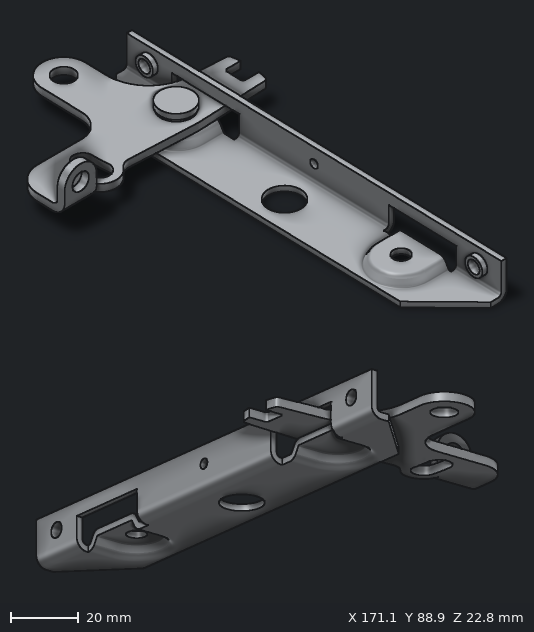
import cadquery as cq
import math


SHEET = 2.2
BRACKET_LENGTH = 158.5
BRACKET_MID_X = 47.5
WALL_BACK_Y = 12.7
BASE_FRONT_Y = -12.8
WALL_HEIGHT = 15.0
BRACKET_BEND_RADIUS = 1.5
BASE_CORNER_CUT = 19.0
BASE_HOLE_DIAMETER = 13.5
BASE_HOLE_Y = -1.7

WINDOW_LENGTH = 28.4
WINDOW_SHIFT = 1.7
WINDOW_TOP_Z = 10.5
WINDOW_FRONT_Y = 8.4
COLLAR_SPACING = 139.3
COLLAR_DIAMETER = 7.4
COLLAR_HOLE_DIAMETER = 5.0
COLLAR_LENGTH = 2.0
WALL_HOLE_Z = 8.9
WALL_PIN_HOLE_DIAMETER = 3.3

DOME_TOP_Z = 6.2
DOME_TOP_RADIUS = 9.4
DOME_SLOPE = math.radians(60)
DOME_TOP_BEND = 2.9
DOME_FOOT_BEND = 1.0
DOME_HOLE_DIAMETER = 6.3

LEVER_THICKNESS = 3.0
LEVER_BOTTOM_Z = DOME_TOP_Z
LEVER_TOP_Z = LEVER_BOTTOM_Z + LEVER_THICKNESS
LEVER_HALF_WIDTH = 9.4
LEVER_BACK_Y = 30.6
LEVER_FRONT_Y = -58.5
FORK_HALF_WIDTH = 8.2
FORK_SHOULDER_Y = 29.6
FORK_CORNER_RADIUS = 1.5
FORK_SLOT_WIDTH = 7.7
FORK_SLOT_DEPTH = 6.8
FORK_SLOT_CORNER = 1.0
EYE_X = -35.3
EYE_Y = -12.0
EYE_RADIUS = 9.0
EYE_HOLE_DIAMETER = 8.4
EYE_BACK_BLEND = 17.3
BACK_BLEND_INSET = 0.3
EYE_FRONT_BLEND = 9.4
SHANK_LEFT_X = -8.9
SHANK_RIGHT_X = 8.0
SHANK_CORNER_RADIUS = 10.0

SLOT_ARC_RADIUS = 37.7
SLOT_WIDTH = 7.9
SLOT_START = math.radians(-1.3)
SLOT_END = math.radians(8.9)
BULGE_RADIUS = 7.0
BULGE_BLEND = 5.1

EAR_OUTER_X = 12.8
EAR_BEND_RADIUS = 2.2
EAR_WIDTH = 13.2
EAR_TOP_Z = 22.8
EAR_HOLE_DIAMETER = 6.8
EAR_FOOT_FLARE = 1.4

RIVET_HEAD_DIAMETER = 13.5
RIVET_NECK_DIAMETER = 12.7
RIVET_HEAD_BOTTOM_Z = 10.3
RIVET_HEAD_TOP_Z = 12.5

WALL_FRONT_Y = WALL_BACK_Y - SHEET
BRACKET_LEFT_X = BRACKET_MID_X - BRACKET_LENGTH / 2
DOME_CENTERS_X = (0, 2 * BRACKET_MID_X)
WINDOW_CENTERS_X = (WINDOW_SHIFT, 2 * BRACKET_MID_X - WINDOW_SHIFT)
COLLAR_CENTERS_X = (BRACKET_MID_X - COLLAR_SPACING / 2, BRACKET_MID_X + COLLAR_SPACING / 2)
EAR_BEND_START_X = EAR_OUTER_X - LEVER_THICKNESS - EAR_BEND_RADIUS
EAR_BACK_Y = LEVER_FRONT_Y + EAR_WIDTH


def vertical_cylinder(x, y, diameter, z_low, z_high):
    return cq.Workplane("XY", origin=(x, y, z_low)).circle(diameter / 2).extrude(z_high - z_low)


def wall_cylinder(x, diameter, y_front):
    """Cylinder along Y from y_front to the back of the wall."""
    plane = cq.Workplane("XZ", origin=(x, WALL_BACK_Y, WALL_HOLE_Z))
    return plane.circle(diameter / 2).extrude(WALL_BACK_Y - y_front)


def bent_angle():
    """L-shaped sheet with its bend and the two cut-off front corners."""
    section = (
        cq.Workplane("YZ", origin=(BRACKET_LEFT_X, 0, 0))
        .moveTo(BASE_FRONT_Y, 0)
        .lineTo(WALL_BACK_Y, 0)
        .lineTo(WALL_BACK_Y, WALL_HEIGHT)
        .lineTo(WALL_FRONT_Y, WALL_HEIGHT)
        .lineTo(WALL_FRONT_Y, SHEET)
        .lineTo(BASE_FRONT_Y, SHEET)
        .close()
    )
    angle = section.extrude(BRACKET_LENGTH)
    inside_edge = cq.selectors.NearestToPointSelector((BRACKET_MID_X, WALL_FRONT_Y, SHEET))
    outside_edge = cq.selectors.NearestToPointSelector((BRACKET_MID_X, WALL_BACK_Y, 0))
    angle = angle.edges(outside_edge).fillet(BRACKET_BEND_RADIUS + SHEET)
    angle = angle.edges(inside_edge).fillet(BRACKET_BEND_RADIUS)
    return angle.edges("|Z").edges("<Y").chamfer(BASE_CORNER_CUT)


def dome_solid(center_x, foot_z, top_z, corner_radius, top_bend, foot_bend):
    """Solid under one dome surface: a round front end with straight sides running to the window."""
    cos_slope = math.cos(DOME_SLOPE)
    sin_slope = math.sin(DOME_SLOPE)
    top_setback = top_bend * math.tan(DOME_SLOPE / 2)
    foot_setback = foot_bend * math.tan(DOME_SLOPE / 2)
    foot_radius = corner_radius + (top_z - foot_z) / math.tan(DOME_SLOPE)

    def half_section():
        return (
            cq.Workplane("XZ", origin=(center_x, 0, 0))
            .moveTo(0, foot_z)
            .lineTo(0, top_z)
            .lineTo(corner_radius - top_setback, top_z)
            .tangentArcPoint(
                (corner_radius + top_setback * cos_slope, top_z - top_setback * sin_slope), relative=False
            )
            .lineTo(foot_radius - foot_setback * cos_slope, foot_z + foot_setback * sin_slope)
            .tangentArcPoint((foot_radius + foot_setback, foot_z), relative=False)
            .close()
        )

    round_end = half_section().revolve(360, (0, 0, 0), (0, 1, 0))
    right_side = half_section().extrude(-WINDOW_FRONT_Y)
    straight = right_side.union(right_side.mirror("YZ", (center_x, 0, 0)))
    front_half = cq.Workplane("XY").box(
        4 * foot_radius, 2 * foot_radius, 4 * top_z, centered=(True, False, True)
    ).translate((center_x, -2 * foot_radius, 0))
    return round_end.intersect(front_half).union(straight)


def add_dome(bracket, center_x):
    """Press one hollow dome of constant sheet thickness into the base."""
    outer = dome_solid(center_x, SHEET, DOME_TOP_Z, DOME_TOP_RADIUS, DOME_TOP_BEND, DOME_FOOT_BEND)
    inner = dome_solid(
        center_x,
        0,
        DOME_TOP_Z - SHEET,
        DOME_TOP_RADIUS - SHEET * math.tan(DOME_SLOPE / 2),
        DOME_TOP_BEND - SHEET,
        DOME_FOOT_BEND + SHEET,
    )
    hole = vertical_cylinder(center_x, 0, DOME_HOLE_DIAMETER, 0, DOME_TOP_Z)
    return bracket.union(outer).cut(inner).cut(hole)


def make_bracket():
    bracket = bent_angle()
    for x in WINDOW_CENTERS_X:
        window = cq.Workplane("XY").box(
            WINDOW_LENGTH, WALL_BACK_Y - WINDOW_FRONT_Y, WINDOW_TOP_Z, centered=(True, False, False)
        )
        bracket = bracket.cut(window.translate((x, WINDOW_FRONT_Y, 0)))
    for x in DOME_CENTERS_X:
        bracket = add_dome(bracket, x)
    collar_front_y = WALL_FRONT_Y - COLLAR_LENGTH
    for x in COLLAR_CENTERS_X:
        bracket = bracket.union(wall_cylinder(x, COLLAR_DIAMETER, collar_front_y))
        bracket = bracket.cut(wall_cylinder(x, COLLAR_HOLE_DIAMETER, collar_front_y))
    bracket = bracket.cut(wall_cylinder(BRACKET_MID_X, WALL_PIN_HOLE_DIAMETER, WALL_FRONT_Y))
    base_hole = vertical_cylinder(BRACKET_MID_X, BASE_HOLE_Y, BASE_HOLE_DIAMETER, 0, SHEET)
    return bracket.cut(base_hole)


def slot_point(radius, angle):
    """Point at an angle about the pivot, measured from -Y toward +X."""
    return (radius * math.sin(angle), -radius * math.cos(angle))


def lever_plate():
    """Flat part of the lever: fork, eye arm, shank and slot bulge."""
    eye_back_y = EYE_Y + EYE_RADIUS
    eye_front_y = EYE_Y - EYE_RADIUS
    back_blend_x = -LEVER_HALF_WIDTH + BACK_BLEND_INSET
    back_blend_y = eye_back_y + EYE_BACK_BLEND

    bulge_x, bulge_y = slot_point(SLOT_ARC_RADIUS, SLOT_END)
    blend_dx = SHANK_RIGHT_X + BULGE_BLEND - bulge_x
    blend_dy = math.sqrt((BULGE_RADIUS + BULGE_BLEND) ** 2 - blend_dx**2)
    touch_share = BULGE_RADIUS / (BULGE_RADIUS + BULGE_BLEND)
    blend_start = (SHANK_RIGHT_X, bulge_y + blend_dy)
    blend_end = (bulge_x + blend_dx * touch_share, bulge_y + blend_dy * touch_share)
    blend_mid_angle = math.pi + math.atan2(blend_dy, blend_dx) / 2
    blend_mid = (
        SHANK_RIGHT_X + BULGE_BLEND * (1 + math.cos(blend_mid_angle)),
        bulge_y + blend_dy + BULGE_BLEND * math.sin(blend_mid_angle),
    )
    bulge_end_x = EAR_OUTER_X - LEVER_THICKNESS
    bulge_end_y = bulge_y - math.sqrt(BULGE_RADIUS**2 - (bulge_end_x - bulge_x) ** 2)

    plate = (
        cq.Workplane("XY", origin=(0, 0, LEVER_BOTTOM_Z))
        .moveTo(EYE_X, eye_front_y)
        .threePointArc((EYE_X - EYE_RADIUS, EYE_Y), (EYE_X, eye_back_y))
        .lineTo(back_blend_x - EYE_BACK_BLEND, eye_back_y)
        .tangentArcPoint((back_blend_x, back_blend_y), relative=False)
        .lineTo(-FORK_HALF_WIDTH, FORK_SHOULDER_Y)
        .threePointArc((0, LEVER_BACK_Y), (FORK_HALF_WIDTH, FORK_SHOULDER_Y))
        .lineTo(LEVER_HALF_WIDTH, 0)
        .lineTo(*blend_start)
        .threePointArc(blend_mid, blend_end)
        .threePointArc((bulge_x + BULGE_RADIUS, bulge_y), (bulge_end_x, bulge_end_y))
        .lineTo(EAR_BEND_START_X, EAR_BACK_Y + EAR_FOOT_FLARE)
        .lineTo(EAR_BEND_START_X, LEVER_FRONT_Y)
        .lineTo(SHANK_LEFT_X + SHANK_CORNER_RADIUS, LEVER_FRONT_Y)
        .tangentArcPoint((SHANK_LEFT_X, LEVER_FRONT_Y + SHANK_CORNER_RADIUS), relative=False)
        .lineTo(SHANK_LEFT_X, eye_front_y - EYE_FRONT_BLEND)
        .tangentArcPoint((SHANK_LEFT_X - EYE_FRONT_BLEND, eye_front_y), relative=False)
        .close()
        .extrude(LEVER_THICKNESS)
    )
    for x in (-FORK_HALF_WIDTH, FORK_HALF_WIDTH):
        fork_corner = cq.selectors.NearestToPointSelector(
            (x, FORK_SHOULDER_Y, LEVER_BOTTOM_Z + LEVER_THICKNESS / 2)
        )
        plate = plate.edges(fork_corner).fillet(FORK_CORNER_RADIUS)
    return plate


def fork_slot():
    slot = cq.Workplane("XY").box(
        FORK_SLOT_WIDTH, 2 * FORK_SLOT_DEPTH, LEVER_THICKNESS, centered=(True, True, False)
    )
    slot = slot.edges("|Z").fillet(FORK_SLOT_CORNER)
    return slot.translate((0, LEVER_BACK_Y, LEVER_BOTTOM_Z))


def curved_slot():
    middle = (SLOT_START + SLOT_END) / 2
    inner_radius = SLOT_ARC_RADIUS - SLOT_WIDTH / 2
    outer_radius = SLOT_ARC_RADIUS + SLOT_WIDTH / 2
    slot = (
        cq.Workplane("XY", origin=(0, 0, LEVER_BOTTOM_Z))
        .moveTo(*slot_point(inner_radius, SLOT_START))
        .threePointArc(slot_point(inner_radius, middle), slot_point(inner_radius, SLOT_END))
        .lineTo(*slot_point(outer_radius, SLOT_END))
        .threePointArc(slot_point(outer_radius, middle), slot_point(outer_radius, SLOT_START))
        .close()
        .extrude(LEVER_THICKNESS)
    )
    for angle in (SLOT_START, SLOT_END):
        x, y = slot_point(SLOT_ARC_RADIUS, angle)
        slot = slot.union(vertical_cylinder(x, y, SLOT_WIDTH, LEVER_BOTTOM_Z, LEVER_TOP_Z))
    return slot


def lever_ear():
    """Ear bent upward from the lever, with a round top and a flared foot."""
    ear_inner_x = EAR_OUTER_X - LEVER_THICKNESS
    bend_end_z = LEVER_TOP_Z + EAR_BEND_RADIUS
    strip_width = EAR_WIDTH + EAR_FOOT_FLARE
    strip = (
        cq.Workplane("XZ", origin=(0, LEVER_FRONT_Y, 0))
        .moveTo(EAR_BEND_START_X, LEVER_BOTTOM_Z)
        .radiusArc((EAR_OUTER_X, bend_end_z), -(EAR_BEND_RADIUS + LEVER_THICKNESS))
        .lineTo(EAR_OUTER_X, EAR_TOP_Z)
        .lineTo(ear_inner_x, EAR_TOP_Z)
        .lineTo(ear_inner_x, bend_end_z)
        .radiusArc((EAR_BEND_START_X, LEVER_TOP_Z), EAR_BEND_RADIUS)
        .close()
        .extrude(-strip_width)
    )
    ear_radius = EAR_WIDTH / 2
    ear_center_y = LEVER_FRONT_Y + ear_radius
    ear_center_z = EAR_TOP_Z - ear_radius
    outline = (
        cq.Workplane("YZ", origin=(EAR_BEND_START_X, 0, 0))
        .moveTo(LEVER_FRONT_Y, LEVER_BOTTOM_Z)
        .lineTo(EAR_BACK_Y + EAR_FOOT_FLARE, LEVER_BOTTOM_Z)
        .lineTo(EAR_BACK_Y + EAR_FOOT_FLARE, LEVER_TOP_Z)
        .lineTo(EAR_BACK_Y, LEVER_TOP_Z + EAR_FOOT_FLARE)
        .lineTo(EAR_BACK_Y, ear_center_z)
        .threePointArc((ear_center_y, EAR_TOP_Z), (LEVER_FRONT_Y, ear_center_z))
        .close()
        .extrude(EAR_OUTER_X - EAR_BEND_START_X)
    )
    hole = (
        cq.Workplane("YZ", origin=(ear_inner_x, ear_center_y, ear_center_z))
        .circle(EAR_HOLE_DIAMETER / 2)
        .extrude(LEVER_THICKNESS)
    )
    relief = (
        cq.Workplane("XY", origin=(ear_inner_x, EAR_BACK_Y, LEVER_BOTTOM_Z))
        .box(LEVER_THICKNESS, EAR_FOOT_FLARE, EAR_TOP_Z, centered=False)
    )
    return strip.intersect(outline).cut(hole).cut(relief)


def make_lever():
    eye_hole = vertical_cylinder(EYE_X, EYE_Y, EYE_HOLE_DIAMETER, LEVER_BOTTOM_Z, LEVER_TOP_Z)
    lever = lever_plate().union(lever_ear())
    return lever.cut(fork_slot()).cut(curved_slot()).cut(eye_hole)


def make_rivet():
    """Pivot rivet: shank filling the dome hole, neck and flat head."""
    shank = vertical_cylinder(0, 0, DOME_HOLE_DIAMETER, DOME_TOP_Z - SHEET, LEVER_TOP_Z)
    neck = vertical_cylinder(0, 0, RIVET_NECK_DIAMETER, LEVER_TOP_Z, RIVET_HEAD_BOTTOM_Z)
    head = vertical_cylinder(0, 0, RIVET_HEAD_DIAMETER, RIVET_HEAD_BOTTOM_Z, RIVET_HEAD_TOP_Z)
    return shank.union(neck).union(head)


result = make_bracket().union(make_lever()).union(make_rivet())